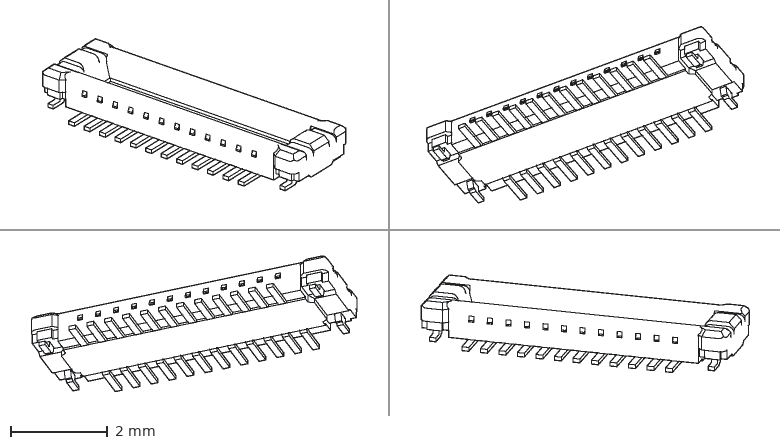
import cadquery as cq
import math

length = 6.6
half_length = length / 2
top_z = 0.83

wall_half_width = 0.845
wall_half_length = 2.7
wall_bottom_z = 0.085
ridge_radius = 0.165
cavity_half_width = 0.475

floor_z = 0.21
floor_half_length = 2.495
floor_chamfer = 0.045

end_half_width = 0.93
end_flat_inner_x = 2.8
end_chamfer = 0.12
corner_radius = 0.14
overhang_z = 0.42
end_bottom_z = 0.14
ledge_z = 0.21
end_core_half_width = 0.77
keel_half_width = 0.35

post_outer_x = 3.17
post_inner_x = 2.84

notch_z = 0.745
end_wall_half_width = 0.51
end_wall_top_x = 2.7
end_wall_radius = 0.145
notch_foot_z = notch_z - end_wall_radius
pad_bottom_half_width = 0.27
pad_top_half_width = 0.25

base_z = 0.04
base_half_width = 0.555
base_half_length = 2.82
base_tip_half_width = 0.35
base_shoulder_half_width = 0.42

contact_count = 12
contact_pitch = 0.4
contact_width = 0.15
contact_reach = 1.3
tab_x = 3.01
tab_width = 0.14
tab_reach = 0.95
foot_thickness = 0.085
lead_rise_half_width = 0.71
lead_heel_half_width = 0.61
lead_bend_radius = 0.02
lead_toe_half_width = 0.515
lead_top_half_width = 0.46

bump_width = 0.105
bump_bottom_z = 0.49
bump_edge_z = 0.52
bump_top_z = 0.61
bump_depth = 0.03


def box(x0, x1, y0, y1, z0, z1):
    return cq.Workplane("XY").box(x1 - x0, y1 - y0, z1 - z0, centered=False).translate((x0, y0, z0))


def across_x(profile, x0, x1):
    """Extrude a closed YZ profile from x0 to x1."""
    return profile.extrude(x1 - x0).translate((x0, 0, 0))


def both_sides(solid):
    """Join a solid on the -Y side with its mirror image."""
    return solid.union(solid.mirror("XZ"))


def both_ends(solid):
    """Join a solid at the -X end with its mirror image."""
    return solid.union(solid.mirror("YZ"))


def side_walls():
    """Solid bar with rounded outer top edges, shortened below the end blocks."""
    bar = box(-end_flat_inner_x, end_flat_inner_x, -wall_half_width, wall_half_width, wall_bottom_z, top_z)
    bar = bar.edges("|X and >Z").fillet(ridge_radius)
    under_end = box(
        -end_flat_inner_x, -wall_half_length, -wall_half_width, wall_half_width, wall_bottom_z, overhang_z)
    return bar.cut(both_ends(under_end))


def end_block():
    """Wide upper block with sloping inner corners, on a stepped and tapered lower core."""
    slope = (end_flat_inner_x - wall_half_length) / (end_half_width - wall_half_width)
    slope_run = slope * (end_half_width - cavity_half_width)
    outline = [
        (-half_length, -end_half_width),
        (-end_flat_inner_x, -end_half_width),
        (-end_flat_inner_x + slope_run, -cavity_half_width),
        (-end_flat_inner_x + slope_run, cavity_half_width),
        (-end_flat_inner_x, end_half_width),
        (-half_length, end_half_width),
    ]
    shoulder_z = top_z - end_chamfer
    upper = cq.Workplane("XY").workplane(offset=overhang_z).polyline(outline).close()
    upper = upper.extrude(shoulder_z - overhang_z)
    cap = cq.Workplane("XY").workplane(offset=shoulder_z).polyline(outline).close()
    upper = upper.union(cap.extrude(end_chamfer, taper=45))
    upper = upper.edges("|Z and <X").fillet(corner_radius)

    keel_rise = ledge_z - end_bottom_z
    core_profile = cq.Workplane("YZ").polyline([
        (-end_core_half_width, overhang_z),
        (-end_core_half_width, ledge_z),
        (-keel_half_width - keel_rise, ledge_z),
        (-keel_half_width, end_bottom_z),
        (keel_half_width, end_bottom_z),
        (keel_half_width + keel_rise, ledge_z),
        (end_core_half_width, ledge_z),
        (end_core_half_width, overhang_z),
    ]).close()
    core = across_x(core_profile, -half_length, -floor_half_length)
    post = box(-post_outer_x, -post_inner_x, -wall_half_width, wall_half_width, ledge_z, overhang_z)
    return upper.union(core).union(post)


def channel():
    """Full-length trough between the side walls, flared by their rounded inner edges."""
    flare_half_width = cavity_half_width + ridge_radius
    flare_z = top_z - ridge_radius
    arc_drop = ridge_radius * (1 - math.sqrt(0.5))
    profile = (
        cq.Workplane("YZ")
        .moveTo(-cavity_half_width, floor_z)
        .lineTo(-cavity_half_width, flare_z)
        .threePointArc((-cavity_half_width - arc_drop, top_z - arc_drop), (-flare_half_width, top_z))
        .lineTo(flare_half_width, top_z)
        .threePointArc((cavity_half_width + arc_drop, top_z - arc_drop), (cavity_half_width, flare_z))
        .lineTo(cavity_half_width, floor_z)
        .close()
    )
    return across_x(profile, -half_length, half_length)


def end_wall_inner_x(z):
    """Distance of the leaning inner face of an end wall from the centre at height z."""
    foot_x = floor_half_length + floor_chamfer
    lean = (end_wall_top_x - foot_x) / (top_z - floor_z)
    return foot_x + lean * (z - floor_z)


def leaning_wall(height, half_width):
    """End wall of the given height with a leaning inner face."""
    profile = cq.Workplane("XZ").polyline([
        (-half_length, floor_z),
        (-end_wall_inner_x(floor_z), floor_z),
        (-end_wall_inner_x(height), height),
        (-half_length, height),
    ]).close()
    return profile.extrude(half_width, both=True)


notch_inner_x = end_wall_inner_x(notch_foot_z)


def end_notch():
    """Clearance through the end block that the end wall fills."""
    return box(-half_length, -notch_inner_x, -end_wall_half_width, end_wall_half_width, floor_z, top_z)


def end_wall():
    """Notched end wall: low rounded shoulders and a raised chamfered pad."""
    shoulder = box(-half_length, -notch_inner_x, -end_wall_half_width, end_wall_half_width, floor_z, notch_z)
    shoulder = shoulder.edges("|Y and >Z").fillet(end_wall_radius)
    low = shoulder.union(leaning_wall(notch_foot_z, end_wall_half_width))

    pad = leaning_wall(top_z, pad_bottom_half_width)
    pad = pad.edges("|Y").edges(">Z").edges(">X").fillet(end_wall_radius)
    pad = pad.edges("|Y").edges(">Z").edges("<X").chamfer(end_chamfer)
    pad_sides = cq.Workplane("YZ").polyline([
        (-pad_bottom_half_width, floor_z),
        (-pad_bottom_half_width, notch_foot_z),
        (-pad_top_half_width, top_z),
        (pad_top_half_width, top_z),
        (pad_bottom_half_width, notch_foot_z),
        (pad_bottom_half_width, floor_z),
    ]).close()
    return low.union(pad.intersect(across_x(pad_sides, -half_length, 0)))


def floor_border():
    """Sloped strip where the cavity walls meet the floor."""
    outer_half_length = floor_half_length + floor_chamfer
    slab = box(-outer_half_length, outer_half_length, -cavity_half_width, cavity_half_width,
               floor_z, floor_z + floor_chamfer)
    opening = (
        cq.Workplane("XY").workplane(offset=floor_z + floor_chamfer)
        .rect(2 * outer_half_length, 2 * cavity_half_width)
        .extrude(-floor_chamfer, taper=45)
    )
    return slab.cut(opening)


def base_rib():
    """Rib under the floor with tapered ends."""
    rib = box(-wall_half_length, wall_half_length, -base_half_width, base_half_width, base_z, floor_z)
    tip = (
        cq.Workplane("XY").workplane(offset=base_z)
        .polyline([
            (-wall_half_length, -base_shoulder_half_width),
            (-base_half_length, -base_tip_half_width),
            (-base_half_length, base_tip_half_width),
            (-wall_half_length, base_shoulder_half_width),
        ])
        .close()
        .extrude(floor_z - base_z)
    )
    return rib.union(both_ends(tip))


def lead(center_x, width, reach):
    """Flat soldering foot that steps up into the housing on the -Y side."""
    bend_offset = lead_bend_radius * (1 - math.sqrt(0.5))
    profile = (
        cq.Workplane("YZ")
        .moveTo(-reach, 0)
        .lineTo(-lead_heel_half_width, 0)
        .lineTo(-base_half_width, base_z)
        .lineTo(-lead_toe_half_width, base_z)
        .lineTo(-lead_top_half_width, ledge_z)
        .lineTo(-lead_rise_half_width, ledge_z)
        .lineTo(-lead_rise_half_width, foot_thickness + lead_bend_radius)
        .threePointArc(
            (-lead_rise_half_width - bend_offset, foot_thickness + bend_offset),
            (-lead_rise_half_width - lead_bend_radius, foot_thickness),
        )
        .lineTo(-reach, foot_thickness)
        .close()
    )
    return across_x(profile, center_x - width / 2, center_x + width / 2)


def contact_bump(center_x):
    """Small wedge on the outer face of the -Y side wall."""
    face_y = -wall_half_width
    profile = cq.Workplane("YZ").polyline([
        (face_y, bump_bottom_z),
        (face_y - bump_depth, bump_bottom_z),
        (face_y - bump_depth, bump_edge_z),
        (face_y, bump_top_z),
    ]).close()
    return across_x(profile, center_x - bump_width / 2, center_x + bump_width / 2)


housing = side_walls().union(both_ends(end_block()))
housing = housing.cut(channel()).cut(both_ends(end_notch()))
housing = housing.union(both_ends(end_wall())).union(floor_border()).union(base_rib())

housing = housing.union(both_ends(both_sides(lead(-tab_x, tab_width, tab_reach))))

for index in range(contact_count):
    contact_x = (index - (contact_count - 1) / 2) * contact_pitch
    contact = lead(contact_x, contact_width, contact_reach).union(contact_bump(contact_x))
    housing = housing.union(both_sides(contact))

result = housing